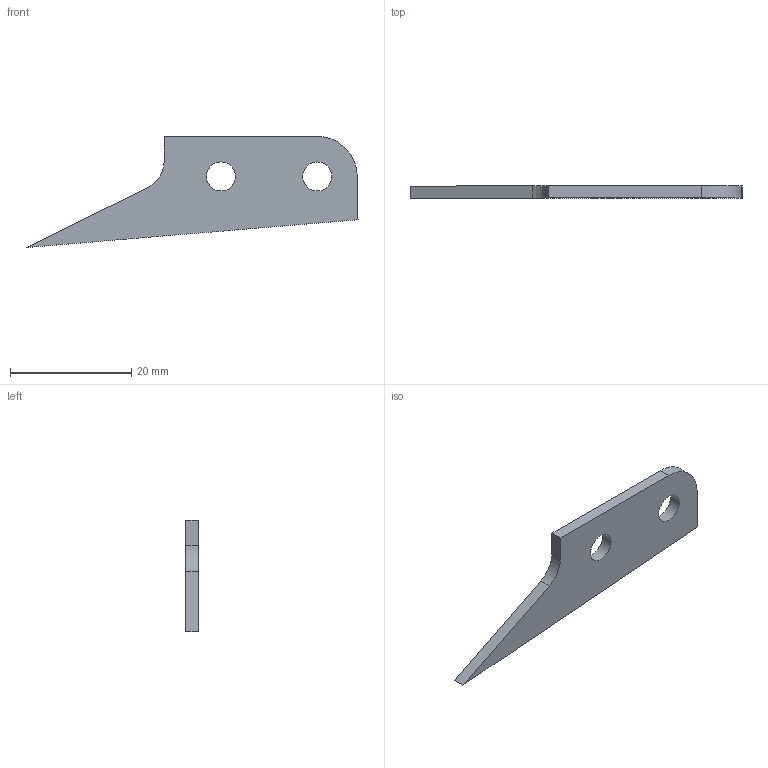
import cadquery as cq
import math

length = 54.81
height = 18.34
thickness = 2.0

heel_height = 4.6
point_angle = 26.3
step_x = 22.8
fillet_radius = 4.75

corner_radius = 6.6
rear_lean = 0.12
corner_x = length - rear_lean - corner_radius
corner_z = height - corner_radius

hole_diameter = 4.8
hole_spacing = 15.9


def make_plate():
    """Extrude the side outline from Y = 0 towards +Y and blend the foot of the step."""
    foot_z = step_x * math.tan(math.radians(point_angle))
    arc_reach = corner_radius * math.sqrt(0.5)
    plate = (
        cq.Workplane("XZ")
        .moveTo(0, 0)
        .lineTo(length, heel_height)
        .lineTo(corner_x + corner_radius, corner_z)
        .threePointArc((corner_x + arc_reach, corner_z + arc_reach), (corner_x, height))
        .lineTo(step_x, height)
        .lineTo(step_x, foot_z)
        .close()
        .extrude(-thickness)
    )
    foot_edge = cq.selectors.NearestToPointSelector((step_x, thickness / 2, foot_z))
    return plate.edges(foot_edge).fillet(fillet_radius)


def make_holes():
    """Cylinders for the front and rear holes, through the whole thickness."""
    return (
        cq.Workplane("XZ")
        .pushPoints([(corner_x - hole_spacing, corner_z), (corner_x, corner_z)])
        .circle(hole_diameter / 2)
        .extrude(-thickness)
    )


result = make_plate().cut(make_holes())